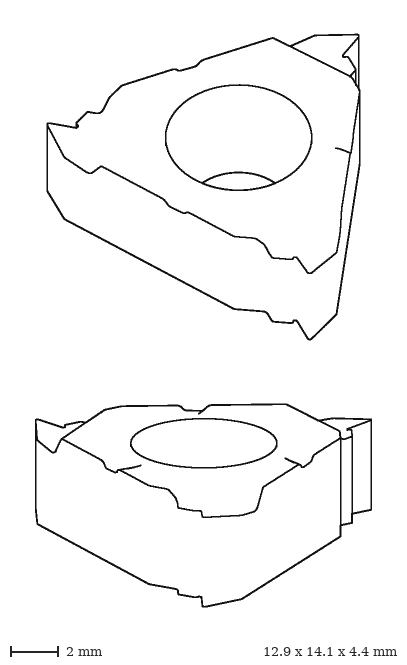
import cadquery as cq
import math

thickness = 4.4
inscribed_radius = 4.77
longest_side = 14.11
corner_count = 3

tip_height = 7.18
tip_radius = 0.1
tooth_half_angle = math.radians(30)
undercut_height = 6.15
undercut_end_x = -3.0
crest_height = 6.32
crest_end_x = -2.13
shoulder_height = 5.77
body_edge_radius = 0.25
crest_radius = 0.11
shoulder_radius = 0.25
undercut_radius = 0.04

rake_angle = math.radians(9.3)
tip_drop = 0.4
groove_root_y = 4.26
groove_wall_angle = math.radians(56)
groove_direction = math.radians(29)
groove_root_radius = 0.31
groove_lip_radius = 0.11
groove_reach = 5.65

notch_mouth_y = -0.25
notch_depth = 0.24
notch_direction = math.radians(-14.5)
notch_length = 1.35
notch_floor_width = 0.78
notch_wall_angle = math.radians(50)
notch_root_radius = 0.21
notch_lip_radius = 0.28

bore_diameter = 4.4
recess_diameter = 6.15
recess_depth = 1.09
seat_radius = 3.67
recess_fillet_radius = 0.45

overshoot = 0.7


def turned(x, y, corner):
    """Rotate a plan point from the +Y corner to the corner with the given number."""
    angle = -2 * math.pi * corner / corner_count
    return (
        x * math.cos(angle) - y * math.sin(angle),
        x * math.sin(angle) + y * math.cos(angle),
    )


def corner_points():
    """Sharp outline of the +Y corner with the rounding radius of each point, listed clockwise."""
    slope = math.tan(tooth_half_angle)
    apex_y = tip_height + tip_radius * (1 / math.sin(tooth_half_angle) - 1)
    flank_reach = longest_side - tip_height
    apex_x = (apex_y * math.sin(tooth_half_angle) - flank_reach) / math.cos(tooth_half_angle)
    flank_root_y = apex_y - (apex_x + inscribed_radius) / slope
    undercut_start_x = apex_x + (apex_y - undercut_height) * slope
    shoulder_start_x = crest_end_x + (crest_height - shoulder_height) * slope
    side_angle = math.radians(60)
    shoulder_end_x = (inscribed_radius - shoulder_height * math.sin(side_angle)) / math.cos(side_angle)
    return [
        (-inscribed_radius, flank_root_y, body_edge_radius),
        (apex_x, apex_y, tip_radius),
        (undercut_start_x, undercut_height, undercut_radius),
        (undercut_end_x, undercut_height, undercut_radius),
        (undercut_end_x, crest_height, crest_radius),
        (crest_end_x, crest_height, crest_radius),
        (shoulder_start_x, shoulder_height, shoulder_radius),
        (shoulder_end_x, shoulder_height, body_edge_radius),
    ]


def body():
    points = corner_points()
    corners = range(corner_count)
    outline = [turned(x, y, corner) for corner in corners for x, y, _ in points]
    prism = cq.Workplane("XY").polyline(outline).close().extrude(thickness)
    for x, y, radius in points:
        for corner in corners:
            edge_middle = (*turned(x, y, corner), thickness / 2)
            prism = prism.edges("|Z").edges(cq.NearestToPointSelector(edge_middle)).fillet(radius)
    return prism


def chip_groove():
    """Cutter for the +Y corner: a raked floor and a steep wall swept along the groove direction."""
    rake = math.tan(rake_angle)
    root_z = thickness - tip_drop - rake * (tip_height - groove_root_y)
    outer_y = tip_height + groove_reach
    outer_z = root_z + rake * (outer_y - groove_root_y)
    top_z = outer_z + 2 * overshoot
    wall_top_y = groove_root_y - (top_z - root_z) / math.tan(groove_wall_angle)
    profile = [(groove_root_y, root_z), (outer_y, outer_z), (outer_y, top_z), (wall_top_y, top_z)]

    step_y = math.tan(groove_direction)
    run = cq.Vector(1, step_y, rake * step_y)
    start = cq.Vector(-inscribed_radius, 0, 0) - run * overshoot
    length = inscribed_radius + 2 * overshoot
    wire = cq.Wire.makePolygon([start + cq.Vector(0, y, z) for y, z in profile], close=True)
    cutter = cq.Workplane(cq.Solid.extrudeLinear(wire, [], run * length))
    root_middle = start + cq.Vector(0, groove_root_y, root_z) + run * (length / 2)
    return cutter.edges(cq.NearestToPointSelector(root_middle.toTuple())).fillet(groove_root_radius)


def notch():
    """Cutter for the -X side: a trapezoid trough whose floor rises inward to the top face."""
    rise = notch_depth / notch_length
    run = cq.Vector(math.cos(notch_direction), math.sin(notch_direction), rise)
    mouth = cq.Vector(-inscribed_radius, notch_mouth_y, thickness - notch_depth)
    plane = cq.Plane(
        origin=(mouth - run * overshoot).toTuple(),
        xDir=(-math.sin(notch_direction), math.cos(notch_direction), 0),
        normal=run.toTuple(),
    )
    height = notch_depth + overshoot
    half_floor = notch_floor_width / 2
    half_top = half_floor + height / math.tan(notch_wall_angle)
    trough = (
        cq.Workplane(plane)
        .polyline([(-half_floor, 0), (half_floor, 0), (half_top, height), (-half_top, height)])
        .close()
        .extrude(notch_length + 2 * overshoot)
    )
    for y in (-half_floor, half_floor):
        root_middle = plane.toWorldCoords((y, 0, notch_length / 2 + overshoot)).toTuple()
        trough = trough.edges(cq.NearestToPointSelector(root_middle)).fillet(notch_root_radius)
    return trough


def screw_hole():
    """Revolved cutter: head recess, rounded into a convex seat that meets the bore tangentially."""
    bore = bore_diameter / 2
    recess = recess_diameter / 2
    recess_z = thickness - recess_depth
    turn = math.acos(1 - (recess - bore) / (seat_radius + recess_fillet_radius))

    def fillet_point(angle):
        return (
            recess - recess_fillet_radius * (1 - math.cos(angle)),
            recess_z - recess_fillet_radius * math.sin(angle),
        )

    seat_z = recess_z - (recess_fillet_radius + seat_radius) * math.sin(turn)

    def seat_point(angle):
        return (bore + seat_radius * (1 - math.cos(angle)), seat_z + seat_radius * math.sin(angle))

    return (
        cq.Workplane("XZ")
        .moveTo(0, -overshoot)
        .lineTo(bore, -overshoot)
        .lineTo(bore, seat_z)
        .threePointArc(seat_point(turn / 2), seat_point(turn))
        .threePointArc(fillet_point(turn / 2), (recess, recess_z))
        .lineTo(recess, thickness + overshoot)
        .lineTo(0, thickness + overshoot)
        .close()
        .revolve()
    )


def around_corners(cutter):
    for corner in range(corner_count):
        yield cutter.rotate((0, 0, 0), (0, 0, 1), -360 * corner / corner_count)


def round_top_edges(part, x, y, radius):
    """Round the top-face edge nearest to a plan point and its copies around the corners."""
    for corner in range(corner_count):
        nearest = cq.NearestToPointSelector((*turned(x, y, corner), thickness))
        part = part.faces(">Z").edges(nearest).fillet(radius)
    return part


result = body()
for groove in around_corners(chip_groove()):
    result = result.cut(groove)

groove_middle_x = (crest_end_x - inscribed_radius) / 2
groove_middle_y = groove_root_y + (groove_middle_x + inscribed_radius) * math.tan(groove_direction)
result = round_top_edges(result, groove_middle_x, groove_middle_y, groove_lip_radius)

for trough in around_corners(notch()):
    result = result.cut(trough)

notch_end_x = -inscribed_radius + notch_length * math.cos(notch_direction)
notch_end_y = notch_mouth_y + notch_length * math.sin(notch_direction)
result = round_top_edges(result, notch_end_x, notch_end_y, notch_lip_radius)

result = result.cut(screw_hole())